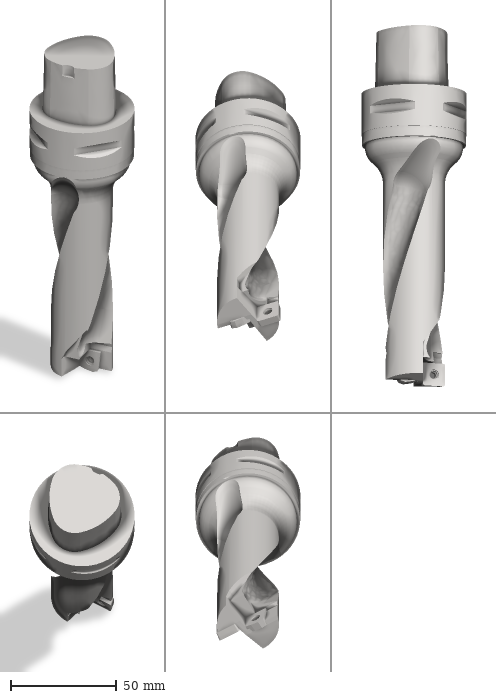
import cadquery as cq
import math


shank_length = 30.0
lobe_reach = 18.75
flat_reach = 16.25
flat_radius = 30.0
shank_taper = math.degrees(math.atan(1 / 40))
key_width = 6.4
key_depth = 1.5
key_length = 5.6

flange_radius = 50.0 / 2
collar_radius = 49.5 / 2
neck_radius = 46.5 / 2
flange_bottom = -20.0
collar_bottom = -25.0
neck_start = -26.4
shoulder_radius = 8.0
root_radius = 13.3
neck_end = -43.6
groove_floor = 21.9
groove_height = 3.6
groove_z = -10.2
groove_flare = math.tan(math.radians(30))
groove_angles = (45, 135, 225, 315)

body_radius = 29.5 / 2
body_bottom = -139.4
end_slopes = ((1, 7.5), (-1, 3.7))
bevel_start = 4.0
twist_rate = 1.27
flute_top = -46.0
flute_top_angle = 244.7
twist_end = -108.5
flute_end = -124.5
flute_radius = 8.25
flute_offset = 12.3
wall_angle = 30.0
wall_length = 12.0
runout_direction = cq.Vector(0.52, -1.25, 1.0)
runout_length = 40.0

insert_size = 11.0
insert_thickness = 3.9
insert_top = -129.8
insert_corner = 1.0
clearance_angle = 7.0
peripheral_reach = 15.5
central_tip_z = -140.99
central_corner_rise = 1.8
central_edge_rise = 0.7
central_edge_inset = (3.0, 1.6)
central_tip_inset = 4.1
central_lower_inset = 1.0
screw_steps = ((4.8, 0.8), (4.0, 2.0), (3.0, insert_thickness))

seat_floor = 1.8
seat_top = -129.4
ramp_top = -126.8
ramp_floor = 2.6
ramp_inset = 5.0
room_floor = -11.0
central_wall_x = -4.2
central_insert_x = -1.45
peripheral_wall_x = 0.0
peripheral_insert_x = peripheral_reach - insert_size
cut_reach = 20.0
central_room = [(central_wall_x, seat_top), (-2.0, -125.0), (8.0, -112.0), (12.0, -112.0),
                (cut_reach, seat_top)]
peripheral_room = [(peripheral_wall_x, seat_top), (peripheral_wall_x, -122.7), (10.5, -109.0), (14.0, -109.0),
                   (cut_reach, seat_top)]


def polar(radius, angle):
    turn = math.radians(angle)
    return (radius * math.cos(turn), radius * math.sin(turn))


def make_shank():
    excess = flat_radius - flat_reach
    lobe_radius = (flat_radius ** 2 - lobe_reach ** 2 - lobe_reach * excess - excess ** 2) / (
        flat_radius + flat_reach - 2 * lobe_reach)
    lobe_centre = lobe_reach - lobe_radius
    along = lobe_centre / 2 + excess
    across = lobe_centre * math.sqrt(3) / 2
    stretch = flat_radius / (flat_radius - lobe_radius)
    joint_x = along * stretch - excess
    joint_y = across * stretch
    joint_reach = math.hypot(joint_x, joint_y)
    joint_angle = math.degrees(math.atan2(joint_y, joint_x))
    outline = cq.Workplane("XY").moveTo(*polar(joint_reach, -90 - joint_angle))
    for flat in (-90, 30, 150):
        outline = outline.threePointArc(polar(flat_reach, flat), polar(joint_reach, flat + joint_angle))
        outline = outline.threePointArc(
            polar(lobe_reach, flat + 60), polar(joint_reach, flat + 120 - joint_angle))
    shank = outline.close().extrude(shank_length, taper=shank_taper)
    end_reach = flat_reach - shank_length * math.tan(math.radians(shank_taper))
    groove_radius = ((key_width / 2) ** 2 + key_depth ** 2) / (2 * key_depth)
    key = (cq.Workplane("XY", origin=(0, -end_reach + key_depth - groove_radius, shank_length - key_length))
           .circle(groove_radius).extrude(key_length))
    return shank.cut(key)


def make_turned_body():
    slant = math.sqrt(0.5)
    shoulder_end = (neck_radius - shoulder_radius * (1 - slant), neck_start - shoulder_radius * slant)
    root_start = (body_radius + root_radius * (1 - slant), neck_end + root_radius * slant)
    mid = math.radians(22.5)
    shoulder_mid = (neck_radius - shoulder_radius * (1 - math.cos(mid)),
                    neck_start - shoulder_radius * math.sin(mid))
    root_mid = (body_radius + root_radius * (1 - math.cos(mid)), neck_end + root_radius * math.sin(mid))
    profile = (cq.Workplane("XZ").moveTo(0, 0).lineTo(flange_radius, 0).lineTo(flange_radius, flange_bottom)
               .lineTo(collar_radius, flange_bottom).lineTo(collar_radius, collar_bottom)
               .lineTo(neck_radius, collar_bottom).lineTo(neck_radius, neck_start)
               .threePointArc(shoulder_mid, shoulder_end).lineTo(*root_start)
               .threePointArc(root_mid, (body_radius, neck_end))
               .lineTo(body_radius, body_bottom).lineTo(0, body_bottom).close())
    return profile.revolve(360, (0, 0, 0), (0, 1, 0))


def gripper_groove(angle):
    depth = flange_radius - groove_floor
    half = groove_height / 2
    flared = half + depth * groove_flare
    return (cq.Workplane("XZ").polyline([(groove_floor, groove_z - half), (flange_radius, groove_z - flared),
                                         (flange_radius, groove_z + flared), (groove_floor, groove_z + half)])
            .close().extrude(flange_radius, both=True).rotate((0, 0, 0), (0, 0, 1), angle))


def flute_section(z, angle):
    """Flute cross-section: a flat wall tangent to a round floor, open outwards along +X."""
    wall = math.radians(wall_angle)
    seam = (flute_offset - flute_radius * math.sin(wall), flute_radius * math.cos(wall))
    wall_out = (seam[0] + wall_length * math.cos(wall), seam[1] + wall_length * math.sin(wall))
    floor = (flute_offset - flute_radius, 0)
    open_side = (flute_offset, -flute_radius)
    return (cq.Workplane("XY", origin=(0, 0, z)).transformed(rotate=(0, 0, angle))
            .moveTo(*wall_out).lineTo(*seam).threePointArc(floor, open_side)
            .lineTo(wall_out[0], -flute_radius).close())


def make_flute():
    twist = twist_rate * (flute_top - twist_end)
    end_angle = flute_top_angle - twist
    twisted = flute_section(twist_end, end_angle).twistExtrude(flute_top - twist_end, twist)
    drop = twist_end - flute_end
    drift = cq.Vector(*polar(math.radians(twist_rate) * body_radius * drop, end_angle - 90), -drop)
    outline = flute_section(twist_end, end_angle).wires().val()
    straight = cq.Workplane(cq.Solid.extrudeLinear(outline, [], drift))
    ball_centre = cq.Vector(*polar(flute_offset, end_angle), twist_end) + drift
    ball = cq.Workplane("XY").sphere(flute_radius).translate(ball_centre)
    return [twisted, straight, ball]


def make_runout():
    """Rising round run-out at the upper end of a flute."""
    start = cq.Vector(*polar(flute_offset, flute_top_angle), flute_top)
    run = cq.Workplane(cq.Solid.makeCylinder(flute_radius, runout_length, start, runout_direction))
    ball = cq.Workplane("XY").sphere(flute_radius).translate(start)
    return [run, ball]


def make_seat(outer, inner, room_outline):
    """Seat open towards -Y: floor, slanted side wall, ramp above the floor and chip room."""
    plan = [(inner, seat_floor), (inner, 0), (outer, -body_radius), (outer, -cut_reach),
            (cut_reach, -cut_reach), (cut_reach, seat_floor)]
    bottom = body_bottom - insert_size
    seat = cq.Workplane("XY", origin=(0, 0, bottom)).polyline(plan).close().extrude(seat_top - bottom)
    ramp = (cq.Workplane("YZ", origin=(inner + ramp_inset, 0, 0))
            .polyline([(seat_floor, seat_top), (ramp_floor, ramp_top), (seat_floor, flute_end),
                       (-cut_reach, flute_end), (-cut_reach, seat_top)]).close().extrude(cut_reach))
    room = (cq.Workplane("XZ", origin=(0, room_floor, 0)).polyline(room_outline).close().extrude(cut_reach))
    return [seat, ramp, room]


def half_turn(shape):
    return shape.rotate((0, 0, 0), (0, 0, 1), 180)


def end_bevel(side, slope):
    rise = (cut_reach - bevel_start) * math.tan(math.radians(slope))
    outline = [(side * bevel_start, body_bottom), (side * cut_reach, body_bottom),
               (side * cut_reach, body_bottom + rise)]
    return cq.Workplane("YZ").polyline(outline).close().extrude(cut_reach, both=True)


def central_blank():
    """Central insert without its screw hole: shallow edges meeting at the drill point."""
    left = central_insert_x
    right = left + insert_size
    corner_z = central_tip_z + central_corner_rise
    edge_z = central_tip_z + central_edge_rise
    return (cq.Workplane("XZ")
            .polyline([(left, insert_top), (left, corner_z), (left + central_edge_inset[0], edge_z),
                       (right - central_tip_inset, central_tip_z), (right - central_edge_inset[1], edge_z),
                       (right - central_lower_inset, corner_z), (right, insert_top)])
            .close().extrude(-insert_thickness, taper=clearance_angle))


def peripheral_blank():
    """Peripheral insert without its screw hole: a square with rounded corners."""
    outline = cq.Sketch().rect(insert_size, insert_size).vertices().fillet(insert_corner)
    return (cq.Workplane("XZ").center(peripheral_insert_x + insert_size / 2, insert_top - insert_size / 2)
            .placeSketch(outline).extrude(-insert_thickness, taper=clearance_angle))


def drill_screw_hole(blank, left):
    insert = blank
    for diameter, depth in screw_steps:
        insert = insert.cut(cq.Workplane("XZ").center(left + insert_size / 2, insert_top - insert_size / 2)
                            .circle(diameter / 2).extrude(-depth))
    return insert


def make_drill():
    drill = make_turned_body()
    for side, slope in end_slopes:
        drill = drill.cut(end_bevel(side, slope))
    for angle in groove_angles:
        drill = drill.cut(gripper_groove(angle))
    for cutter in make_seat(central_wall_x, central_insert_x, central_room) + [central_blank()]:
        drill = drill.cut(cutter)
    for cutter in make_seat(peripheral_wall_x, peripheral_insert_x, peripheral_room) + [peripheral_blank()]:
        drill = drill.cut(half_turn(cutter))
    for cutter in make_flute() + make_runout():
        drill = drill.cut(cutter).cut(half_turn(cutter))
    return drill.union(make_shank())


def make_central_insert():
    return drill_screw_hole(central_blank(), central_insert_x)


def make_peripheral_insert():
    return half_turn(drill_screw_hole(peripheral_blank(), peripheral_insert_x))


drill = make_drill()
central_insert = make_central_insert()
peripheral_insert = make_peripheral_insert()
result = cq.Compound.makeCompound(
    [body.solids().val() for body in (drill, central_insert, peripheral_insert)])